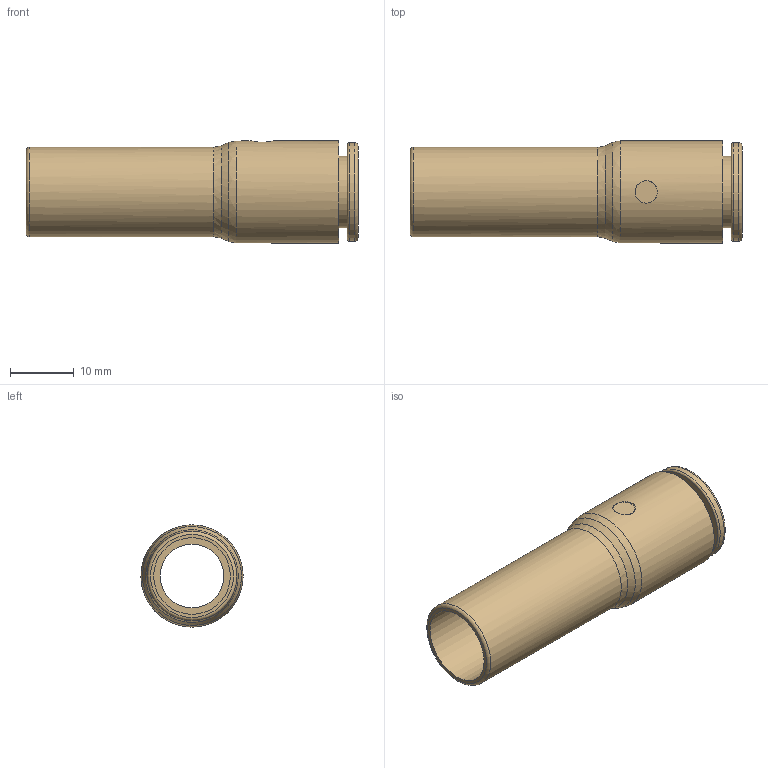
import cadquery as cq

total_length = 52.0
body_end = 49.0
flange_start = 50.3

stem_radius = 7.0
body_radius = 8.0
neck_radius = 5.6
flange_radius = 7.7

cone_start = 30.0
cone_end = 32.3
cone_blend_radius = 3.0
selection_margin = 0.1

tube_bore_radius = 5.0
stem_bore_radius = 6.0
stem_bore_depth = cone_start

stem_tip_fillet = 0.5
flange_inner_fillet = 0.3
flange_outer_fillet = 0.5

recess_center_x = 37.0
recess_radius = 1.75
recess_depth = 0.2


def cylinder(radius, start, end):
    """Cylinder on the X axis between two X positions."""
    return cq.Workplane("YZ", origin=(start, 0, 0)).circle(radius).extrude(end - start)


def make_shell():
    """Stem, blended cone and body as one turned solid."""
    shell = (
        cq.Workplane("XY")
        .lineTo(0, stem_radius)
        .lineTo(cone_start, stem_radius)
        .lineTo(cone_end, body_radius)
        .lineTo(body_end, body_radius)
        .lineTo(body_end, 0)
        .close()
        .revolve(360, (0, 0, 0), (1, 0, 0))
    )
    cone_edges = cq.selectors.BoxSelector(
        (cone_start - selection_margin, -body_radius, -body_radius),
        (cone_end + selection_margin, body_radius, body_radius),
    )
    shell = shell.edges(cone_edges).edges("%CIRCLE").fillet(cone_blend_radius)
    return shell.faces("<X").edges().fillet(stem_tip_fillet)


def make_collar():
    """Release collar: narrow neck and rounded flange."""
    neck = cylinder(neck_radius, body_end, flange_start)
    flange = cylinder(flange_radius, flange_start, total_length)
    flange = flange.faces("<X").edges().fillet(flange_inner_fillet)
    flange = flange.faces(">X").edges().fillet(flange_outer_fillet)
    return neck.union(flange)


def cut_bores(part):
    """Tube bore right through, widened inside the stem."""
    part = part.cut(cylinder(tube_bore_radius, 0, total_length))
    return part.cut(cylinder(stem_bore_radius, 0, stem_bore_depth))


def cut_recess(part):
    """Shallow round recess sunk into the top of the body."""
    floor_z = body_radius - recess_depth
    recess = (
        cq.Workplane("XY", origin=(recess_center_x, 0, floor_z))
        .circle(recess_radius)
        .extrude(body_radius - floor_z)
    )
    return part.cut(recess)


result = cut_recess(cut_bores(make_shell().union(make_collar())))